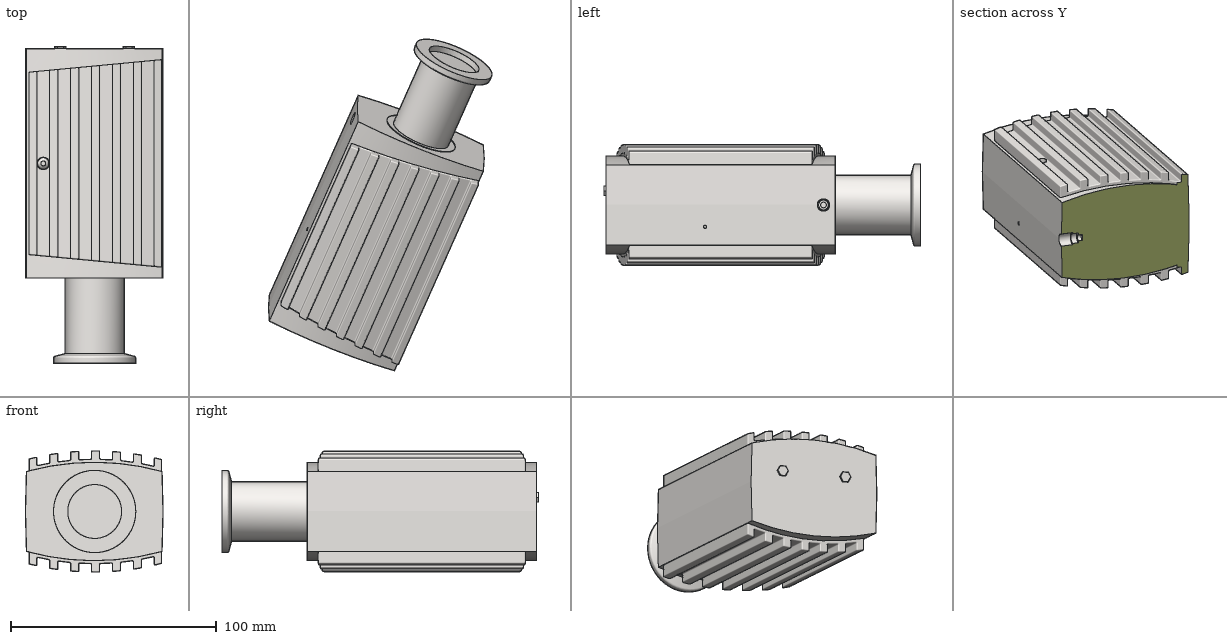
import cadquery as cq
import math


port_x = 0.2

body_length = 111.5
half_width_middle = 33.5
half_width_corner = 33.0
corner_height = 19.4
crown_height = 23.9
crown_rise = crown_height - corner_height
crown_radius = (half_width_corner**2 + crown_rise**2) / (2 * crown_rise)
crown_centre = crown_height - crown_radius

fin_tip_height = 29.5
floor_height = 25.4
pad_left = -31.7
pad_right = 32.8
pad_setback_left = 11.4
pad_setback_right = 5.3
fin_count = 7
fin_pitch = 10.17
fin_width = 4.0
middle_fin_x = 0.65
fin_fillet = 0.5

screw_x = middle_fin_x - 2.5 * fin_pitch
screw_y = body_length / 2
counterbore_diameter = 6.0
counterbore_depth = 4.0
head_diameter = 5.6
head_height = 1.6
socket_diameter = 2.4
socket_depth = 0.8

jack_y = 5.8
jack_steps = [(6.0, 6.0), (4.8, 9.0), (2.8, 11.0)]
indicator_y = body_length / 2 + 7.6
indicator_z = -10.6
indicator_diameter = 1.5
indicator_depth = 2.0

post_spacing = 33.3
post_z = 6.9
post_across_flats = 4.8
post_height = 1.0

seat_diameter = 36.0
seat_depth = 0.3
tube_length = 41.4
tube_radius = 14.5
flange_radius = 20.0
flange_rim = 3.25
flange_taper = math.radians(15)
flange_fillet = 1.0
mouth_diameter = 26.2
mouth_depth = 3.0


def height_on_arc(x, crown):
    """Height at x of the arc that is concentric with the crown and peaks at the given height."""
    return crown_centre + math.sqrt((crown - crown_centre)**2 - x**2)


def extrude_back(sketch, start, length):
    """Extrude an XZ outline toward +Y, beginning at Y = start."""
    return sketch.extrude(-length).translate((0, start, 0))


def make_block():
    """Block with a crowned top and bottom and slightly pitched sides."""
    outline = (
        cq.Workplane("XZ")
        .moveTo(half_width_middle, 0)
        .lineTo(half_width_corner, corner_height)
        .threePointArc((0, crown_height), (-half_width_corner, corner_height))
        .lineTo(-half_width_middle, 0)
        .lineTo(-half_width_corner, -corner_height)
        .threePointArc((0, -crown_height), (half_width_corner, -corner_height))
        .close()
    )
    return extrude_back(outline, 0, body_length)


def arched_slab(left, right, crown):
    """Slab between two X limits, from Z = 0 up to a concentric arc."""
    middle = (left + right) / 2
    outline = (
        cq.Workplane("XZ")
        .moveTo(left, 0)
        .lineTo(left, height_on_arc(left, crown))
        .threePointArc((middle, height_on_arc(middle, crown)), (right, height_on_arc(right, crown)))
        .lineTo(right, 0)
        .close()
    )
    return extrude_back(outline, 0, body_length)


def make_pad():
    """Finned pad for the top side, with a trapezoidal plan and rounded edges."""
    pad = arched_slab(pad_left, pad_right, floor_height)
    for index in range(fin_count):
        centre = middle_fin_x + (index - fin_count // 2) * fin_pitch
        left = max(centre - fin_width / 2, pad_left)
        right = min(centre + fin_width / 2, pad_right)
        pad = pad.union(arched_slab(left, right, fin_tip_height))
    plan = (
        cq.Workplane("XY")
        .moveTo(pad_left, pad_setback_left)
        .lineTo(pad_right, pad_setback_right)
        .lineTo(pad_right, body_length - pad_setback_right)
        .lineTo(pad_left, body_length - pad_setback_left)
        .close()
        .extrude(fin_tip_height)
    )
    pad = pad.intersect(plan).clean()
    return pad.edges("not(<Z)").fillet(fin_fillet)


def add_screw(housing):
    """Sink the counterbore into the groove floor and leave a domed, socketed head at its bottom."""
    seat_z = height_on_arc(screw_x, floor_height) - counterbore_depth
    seat = cq.Workplane("XY", origin=(screw_x, screw_y, seat_z))
    counterbore = seat.circle(counterbore_diameter / 2).extrude(counterbore_depth + fin_fillet)
    dome_radius = ((head_diameter / 2)**2 + head_height**2) / (2 * head_height)
    ball = seat.workplane(offset=head_height - dome_radius).sphere(dome_radius)
    head = seat.circle(head_diameter / 2).extrude(head_height).intersect(ball)
    socket_floor = seat.workplane(offset=head_height - socket_depth)
    socket = socket_floor.circle(socket_diameter / 2).extrude(socket_depth)
    return housing.cut(counterbore.cut(head.cut(socket)))


def side_hole(diameter, y, z, depth):
    """Round cutter that enters the -X side down to the given depth below the widest point."""
    return (
        cq.Workplane("YZ", origin=(-half_width_middle, y, z))
        .circle(diameter / 2)
        .extrude(depth)
    )


def make_post(x):
    """Hexagonal post on the rear face with two flats facing -X and +X."""
    outline = (
        cq.Workplane("XZ", origin=(x, 0, post_z))
        .transformed(rotate=(0, 0, 90))
        .polygon(6, post_across_flats, circumscribed=True)
    )
    return extrude_back(outline, body_length, post_height)


def make_seat():
    """Shallow round recess in the front face that takes the root of the tube."""
    return extrude_back(cq.Workplane("XZ", origin=(port_x, 0, 0)).circle(seat_diameter / 2), 0, seat_depth)


def make_housing():
    """Finned block with its screw, rear posts, side holes and tube seat."""
    pad = make_pad()
    housing = make_block().union(pad).union(pad.mirror("XY"))
    housing = add_screw(housing)
    for side in (-1, 1):
        housing = housing.union(make_post(port_x + side * post_spacing / 2))
    for diameter, depth in jack_steps:
        housing = housing.cut(side_hole(diameter, jack_y, 0, depth))
    housing = housing.cut(side_hole(indicator_diameter, indicator_y, indicator_z, indicator_depth))
    return housing.cut(make_seat())


def make_tube():
    """Closed tube with a tapered clamping flange and a shallow mouth, revolved about its own axis."""
    taper_rise = (flange_radius - tube_radius) * math.tan(flange_taper)
    profile = (
        cq.Workplane("XY")
        .moveTo(0, seat_depth)
        .lineTo(tube_radius, seat_depth)
        .lineTo(tube_radius, flange_rim + taper_rise - tube_length)
        .lineTo(flange_radius, flange_rim - tube_length)
        .lineTo(flange_radius, -tube_length)
        .lineTo(mouth_diameter / 2, -tube_length)
        .lineTo(mouth_diameter / 2, mouth_depth - tube_length)
        .lineTo(0, mouth_depth - tube_length)
        .close()
    )
    tube = profile.revolve(360, (0, 0, 0), (0, 1, 0))
    rim_edge = cq.selectors.NearestToPointSelector((0, flange_rim - tube_length, 0))
    tube = tube.edges(rim_edge).fillet(flange_fillet)
    return tube.translate((port_x, 0, 0))


housing = make_housing()
tube = make_tube()
result = cq.Compound.makeCompound([housing.val(), tube.val()])